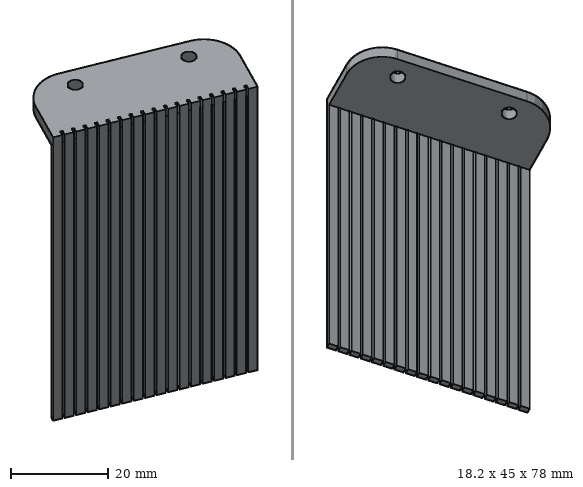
import cadquery as cq

LENGTH_X = 18.2
WIDTH_Y = 45.0
HEIGHT_Z = 78.0

PLATE_THICKNESS = 3.0
CORNER_RADIUS = 8.0
HOLE_DIAMETER = 3.15
HOLE_SPACING = 25.0
HOLE_EDGE_DISTANCE = 4.5

TOOTH_THICKNESS = 1.2
TOOTH_COUNT = 18
GAP_WIDTH = 0.5
GAP_COUNT = TOOTH_COUNT - 1
TOOTH_WIDTH = (WIDTH_Y - GAP_COUNT * GAP_WIDTH) / TOOTH_COUNT
TOOTH_PITCH = TOOTH_WIDTH + GAP_WIDTH

PLATE_BOTTOM_Z = HEIGHT_Z - PLATE_THICKNESS
COMB_BACK_X = LENGTH_X - TOOTH_THICKNESS


def make_plate():
    """Flat plate with two rounded corners and two mounting holes."""
    plate = (
        cq.Workplane("XY", origin=(0, 0, PLATE_BOTTOM_Z))
        .rect(LENGTH_X, WIDTH_Y)
        .extrude(PLATE_THICKNESS)
        .translate((LENGTH_X / 2, 0, 0))
    )
    plate = plate.edges("|Z and <X").fillet(CORNER_RADIUS)
    holes = (
        cq.Workplane("XY", origin=(HOLE_EDGE_DISTANCE, 0, PLATE_BOTTOM_Z))
        .rarray(1, HOLE_SPACING, 1, 2)
        .circle(HOLE_DIAMETER / 2)
        .extrude(PLATE_THICKNESS)
    )
    return plate.cut(holes)


def make_comb_wall():
    """Solid wall at the +X edge, over the full height, before the gaps are cut."""
    return cq.Workplane("XY").box(
        TOOTH_THICKNESS, WIDTH_Y, HEIGHT_Z, centered=(False, True, False)
    ).translate((COMB_BACK_X, 0, 0))


def make_gaps():
    """Evenly spaced gaps that run through the wall and the edge of the plate."""
    return (
        cq.Workplane("XY", origin=(COMB_BACK_X + TOOTH_THICKNESS / 2, 0, 0))
        .rarray(1, TOOTH_PITCH, 1, GAP_COUNT)
        .rect(TOOTH_THICKNESS, GAP_WIDTH)
        .extrude(HEIGHT_Z)
    )


result = make_plate().union(make_comb_wall()).cut(make_gaps())